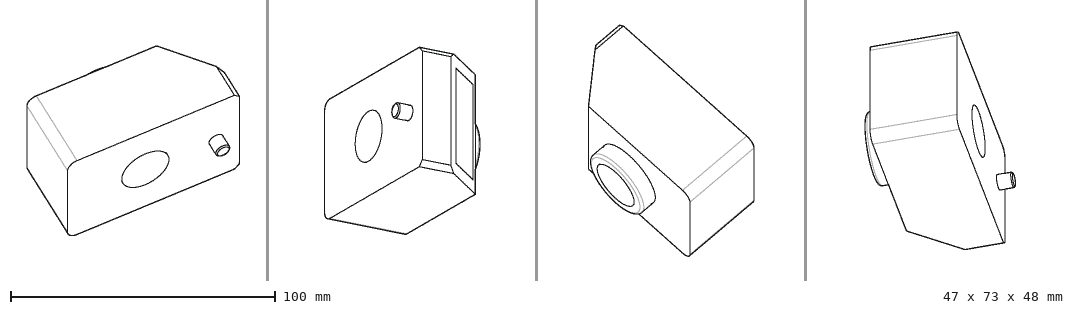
import cadquery as cq
import math

width = 33.9
length = 73.0
height = 48.0
bore_to_low_end = 33.0
corner_radius = 4.0
end_chamfer = 2.2
bevel_x = 21.4
bevel_y = 17.95

window_height = 38.25
window_high_inset = 3.65
window_low_inset = 16.1
window_thickness = 0.1

collar_diameter = 28.5
collar_length = 7.1
collar_edge = 1.0
bore_diameter = 20.0

pin_diameter = 6.0
pin_length = 6.05
pin_chamfer = 0.5
pin_from_low_end = 63.0

low_y = -bore_to_low_end
high_y = low_y + length


def make_block():
    block = cq.Workplane("XY").box(width, length, height)
    block = block.edges("|X and <Y").fillet(corner_radius)
    block = block.edges("|X and >Y").chamfer(end_chamfer)
    return block.translate((width / 2, low_y + length / 2, 0))


def make_bevel_cut():
    corner = [(0, high_y), (bevel_x, high_y), (0, high_y - bevel_y)]
    return cq.Workplane("XY").polyline(corner).close().extrude(height, both=True)


def make_window():
    middle_inset = (window_high_inset + window_low_inset) / 2
    middle_x = bevel_x * (1 - middle_inset / bevel_y)
    slope_per_y = math.hypot(bevel_x, bevel_y) / bevel_y
    window_length = (window_low_inset - window_high_inset) * slope_per_y
    slope = cq.Plane(
        origin=(middle_x, high_y - middle_inset, 0),
        xDir=(bevel_x, bevel_y, 0),
        normal=(-bevel_y, bevel_x, 0),
    )
    return cq.Workplane(slope).rect(window_length, window_height).extrude(window_thickness, both=True)


def make_collar():
    collar = cq.Workplane("YZ").circle(collar_diameter / 2).extrude(-collar_length)
    return collar.faces("<X").edges().fillet(collar_edge)


def make_bore():
    start = cq.Workplane("YZ").workplane(offset=-collar_length)
    return start.circle(bore_diameter / 2).extrude(collar_length + width)


def make_pin():
    back = cq.Workplane("YZ", origin=(width, low_y + pin_from_low_end, 0))
    pin = back.circle(pin_diameter / 2).extrude(pin_length)
    return pin.faces(">X").edges().chamfer(pin_chamfer)


housing = make_block().cut(make_bevel_cut()).union(make_window())
result = housing.union(make_collar()).union(make_pin()).cut(make_bore())